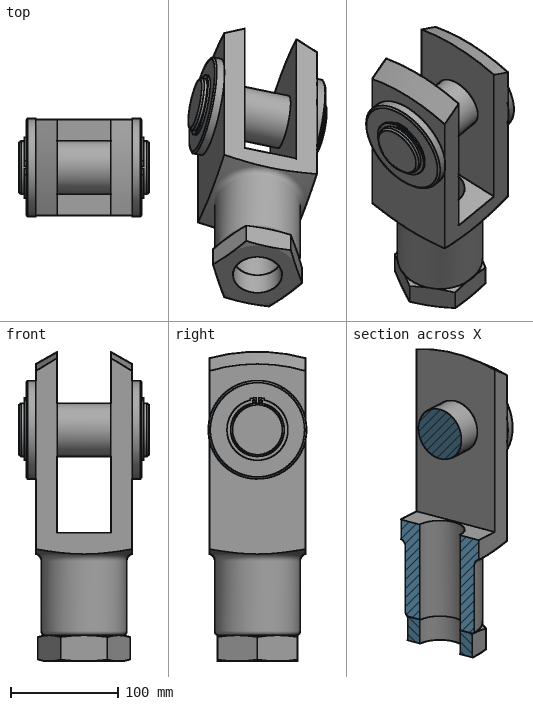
import cadquery as cq
import math

FORK_WIDTH = 90.0
FORK_LENGTH = 265.0
SLOT_WIDTH = 50.0
SLOT_DEPTH_BELOW_PIN = 96.0
PIN_TO_SHANK_END = 192.0
SHANK_DIAMETER = 80.0
SHANK_LENGTH = 76.0
SHANK_END_FILLET = 4.0
NECK_FILLET = 6.5
SHOULDER_ANGLE = 14.0
TOP_RADIUS = 170.0
TOP_BEVEL_ANGLE = 30.0
THREAD_BORE = 45.84

NUT_HEIGHT = 24.0
NUT_ACROSS_FLATS = 75.0
NUT_CHAMFER_ANGLE = 15.0

PIN_DIAMETER = 50.0
PIN_LENGTH = 121.5
PIN_CHAMFER_LENGTH = 2.0
PIN_CHAMFER_DEPTH = 1.75
WASHER_DIAMETER = 92.0
WASHER_THICKNESS = 9.0
WASHER_CHAMFER_LENGTH = 1.5
WASHER_CHAMFER_DEPTH = 2.0
RING_DIAMETER = 57.0
RING_THICKNESS = 2.0
RING_GAP = 2.0
LUG_RADIUS = 29.9
LUG_SPAN = 13.0
LUG_HOLE_DIAMETER = 2.5
LUG_HOLE_OFFSET = 3.2
LUG_HOLE_HEIGHT = 26.6

half_width = FORK_WIDTH / 2
shank_end_z = NUT_HEIGHT
fork_top_z = shank_end_z + FORK_LENGTH
shoulder_z = shank_end_z + SHANK_LENGTH
pin_z = shank_end_z + PIN_TO_SHANK_END
slot_floor_z = pin_z - SLOT_DEPTH_BELOW_PIN


def sloped(distance, angle):
    """Rise over a distance at an angle given in degrees."""
    return distance * math.tan(math.radians(angle))


def x_cylinder(diameter, length, start_x):
    """Cylinder along X on the pin axis."""
    plane = cq.Workplane("YZ", origin=(start_x, 0, pin_z))
    return plane.circle(diameter / 2).extrude(length)


def make_turned_blank():
    """Round blank: shank, filleted neck and conical shoulder under the head."""
    shank_radius = SHANK_DIAMETER / 2
    blank_radius = FORK_WIDTH
    corner_z = shoulder_z - sloped(half_width - shank_radius, SHOULDER_ANGLE)
    tangent = NECK_FILLET * math.tan(math.radians(90 - SHOULDER_ANGLE) / 2)
    shoulder = math.radians(SHOULDER_ANGLE)
    fillet_bottom = (shank_radius, corner_z - tangent)
    fillet_top = (
        shank_radius + tangent * math.cos(shoulder),
        corner_z + tangent * math.sin(shoulder),
    )
    fillet_mid = (
        shank_radius + NECK_FILLET * (1 - math.cos((math.pi / 2 - shoulder) / 2)),
        fillet_bottom[1] + NECK_FILLET * math.sin((math.pi / 2 - shoulder) / 2),
    )
    blank_edge_z = shoulder_z + sloped(blank_radius - half_width, SHOULDER_ANGLE)
    profile = (
        cq.Workplane("XZ")
        .moveTo(0, shank_end_z)
        .lineTo(shank_radius, shank_end_z)
        .lineTo(*fillet_bottom)
        .threePointArc(fillet_mid, fillet_top)
        .lineTo(blank_radius, blank_edge_z)
        .lineTo(blank_radius, fork_top_z)
        .lineTo(0, fork_top_z)
        .close()
    )
    blank = profile.revolve(360, (0, 0, 0), (0, 1, 0))
    return blank.faces("<Z").edges().fillet(SHANK_END_FILLET)


def make_crown():
    """Envelope turned about an X axis: beveled cones that shape the fork tips."""
    slot_half = SLOT_WIDTH / 2
    outer_radius = TOP_RADIUS - sloped(half_width - slot_half, TOP_BEVEL_ANGLE)
    axis_z = fork_top_z - TOP_RADIUS
    return (
        cq.Workplane("XY")
        .polyline([
            (-half_width, 0),
            (-half_width, outer_radius),
            (-slot_half, TOP_RADIUS),
            (slot_half, TOP_RADIUS),
            (half_width, outer_radius),
            (half_width, 0),
        ])
        .close()
        .revolve(360, (0, 0, 0), (1, 0, 0))
        .translate((0, 0, axis_z))
    )


def make_fork():
    square = cq.Workplane("XY").rect(FORK_WIDTH, FORK_WIDTH).extrude(fork_top_z)
    slot = (
        cq.Workplane("XY", origin=(0, 0, slot_floor_z))
        .rect(SLOT_WIDTH, 2 * FORK_WIDTH)
        .extrude(fork_top_z - slot_floor_z)
    )
    bore = cq.Workplane("XY").circle(THREAD_BORE / 2).extrude(slot_floor_z)
    pin_hole = x_cylinder(PIN_DIAMETER, FORK_WIDTH, -half_width)
    fork = make_turned_blank().intersect(square).intersect(make_crown())
    return fork.cut(slot).cut(bore).cut(pin_hole)


def make_nut():
    """Hexagon nut with corners along X, chamfered on both faces."""
    corner_diameter = NUT_ACROSS_FLATS / math.cos(math.pi / 6)
    flat_radius = NUT_ACROSS_FLATS / 2
    corner_radius = corner_diameter / 2
    drop = sloped(corner_radius - flat_radius, NUT_CHAMFER_ANGLE)
    hexagon = cq.Workplane("XY").polygon(6, corner_diameter).extrude(NUT_HEIGHT)
    chamfered_disc = (
        cq.Workplane("XZ")
        .polyline([
            (0, 0),
            (flat_radius, 0),
            (corner_radius, drop),
            (corner_radius, NUT_HEIGHT - drop),
            (flat_radius, NUT_HEIGHT),
            (0, NUT_HEIGHT),
        ])
        .close()
        .revolve(360, (0, 0, 0), (0, 1, 0))
    )
    bore = cq.Workplane("XY").circle(THREAD_BORE / 2).extrude(NUT_HEIGHT)
    return hexagon.intersect(chamfered_disc).cut(bore)


def make_retaining_ring(start_x):
    """Open ring around the pin with two drilled lugs at the top."""
    plane = cq.Workplane("YZ", origin=(start_x, 0, pin_z))
    lugs = (
        plane.center(0, LUG_RADIUS / 2)
        .rect(LUG_SPAN, LUG_RADIUS)
        .extrude(RING_THICKNESS)
        .intersect(x_cylinder(2 * LUG_RADIUS, RING_THICKNESS, start_x))
    )
    gap = plane.center(0, LUG_RADIUS / 2).rect(RING_GAP, LUG_RADIUS).extrude(RING_THICKNESS)
    holes = (
        plane.pushPoints([(side * LUG_HOLE_OFFSET, LUG_HOLE_HEIGHT) for side in (-1, 1)])
        .circle(LUG_HOLE_DIAMETER / 2)
        .extrude(RING_THICKNESS)
    )
    ring = x_cylinder(RING_DIAMETER, RING_THICKNESS, start_x).union(lugs)
    return ring.cut(gap).cut(holes)


def turned_about_pin(profile_points):
    """Solid turned about the pin axis from (x, radius) points."""
    profile = cq.Workplane("XY").polyline(profile_points).close()
    return profile.revolve(360, (0, 0, 0), (1, 0, 0)).translate((0, 0, pin_z))


def make_pin_shaft():
    end_x = PIN_LENGTH / 2
    chamfer_x = end_x - PIN_CHAMFER_LENGTH
    radius = PIN_DIAMETER / 2
    end_radius = radius - PIN_CHAMFER_DEPTH
    return turned_about_pin([
        (-end_x, 0),
        (-end_x, end_radius),
        (-chamfer_x, radius),
        (chamfer_x, radius),
        (end_x, end_radius),
        (end_x, 0),
    ])


def make_washer():
    """Washer on the +X side, chamfered on its outer face."""
    face_x = half_width + WASHER_THICKNESS
    radius = WASHER_DIAMETER / 2
    return turned_about_pin([
        (half_width, 0),
        (half_width, radius),
        (face_x - WASHER_CHAMFER_LENGTH, radius),
        (face_x, radius - WASHER_CHAMFER_DEPTH),
        (face_x, 0),
    ])


def make_pin():
    """Pin as one body with the washer and retaining ring of each end."""
    pin = make_pin_shaft()
    ring = make_retaining_ring(half_width + WASHER_THICKNESS)
    for end_part in (make_washer(), ring):
        pin = pin.union(end_part).union(end_part.mirror("YZ"))
    return pin


fork = make_fork()
nut = make_nut()
pin = make_pin()

result = cq.Compound.makeCompound([fork.val(), nut.val(), pin.val()])